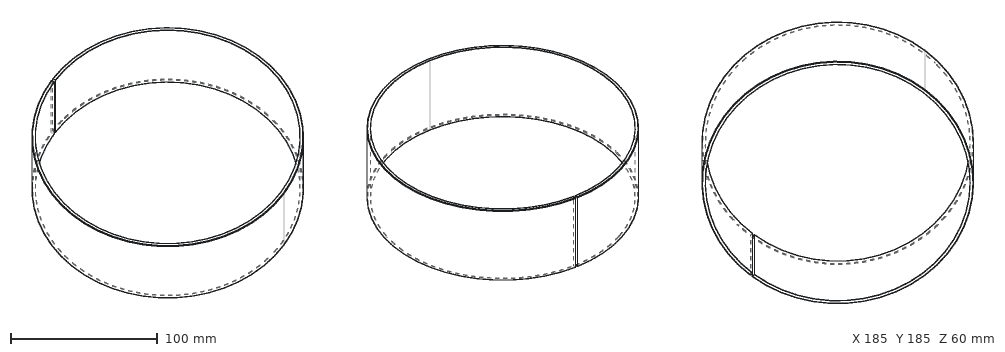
import cadquery as cq
import math

outer_diameter = 185.0
wall_thickness = 2.5
height = 60.0
outer_rim_chamfer = 0.5
inner_rim_chamfer = 0.2
slit_angle = 1.0

outer_radius = outer_diameter / 2
inner_radius = outer_radius - wall_thickness


def make_band():
    """Plain thin-walled band standing on the XY plane, centred on Z."""
    return cq.Workplane("XY").circle(outer_radius).circle(inner_radius).extrude(height)


def chamfer_rims(band):
    """Chamfer the top and bottom rims, more on the outside than in the bore."""
    largest_circles = cq.selectors.RadiusNthSelector(-1)
    smallest_circles = cq.selectors.RadiusNthSelector(0)
    band = band.edges("%CIRCLE").edges(largest_circles).chamfer(outer_rim_chamfer)
    return band.edges("%CIRCLE").edges(smallest_circles).chamfer(inner_rim_chamfer)


def make_slit_cutter():
    """Wedge from the Z axis through the -X wall, between the XZ plane and slit_angle toward +Y."""
    cutter_reach = outer_radius + wall_thickness
    cutter_width = cutter_reach * math.tan(math.radians(slit_angle))
    return (
        cq.Workplane("XY")
        .moveTo(0, 0)
        .lineTo(-cutter_reach, 0)
        .lineTo(-cutter_reach, cutter_width)
        .close()
        .extrude(height)
    )


result = chamfer_rims(make_band()).cut(make_slit_cutter())